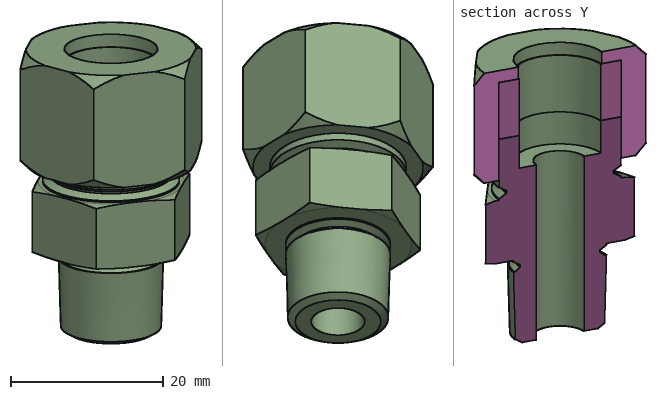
import cadquery as cq
import math


TOTAL_HEIGHT = 39.0
NUT_FLATS = 22.0
BODY_FLATS = 19.07

NUT_HEIGHT = 15.55
NUT_BOTTOM = TOTAL_HEIGHT - NUT_HEIGHT
NUT_FACE_RADIUS = 11.2
NUT_CHAMFER_ANGLE = 45.0
NUT_LIP = 1.75
NUT_HOLE_RADIUS = 6.12
RING_TOP = TOTAL_HEIGHT - NUT_LIP

HEX_BOTTOM = 11.78
HEX_HEIGHT = 8.95
HEX_TOP = HEX_BOTTOM + HEX_HEIGHT
HEX_FACE_RADIUS = 9.65
HEX_CHAMFER_ANGLE = 12.0
COLLAR_RADIUS = 9.0
COLLAR_HEIGHT = 8.55
BODY_TOP = HEX_TOP + COLLAR_HEIGHT

THREAD_TOP_RADIUS = 6.9
THREAD_SHOULDER = 0.2
THREAD_END_RADIUS = 6.63
THREAD_TOP = 10.18
TIP_RADIUS = 5.6
TIP_CHAMFER_HEIGHT = 0.62

UPPER_GROOVE_DEPTH = 1.1
LOWER_GROOVE_DEPTH = 0.98
GROOVE_FLOOR = 0.27
GROOVE_FLANK_ANGLE = 30.0
GROOVE_LAND = 0.2

TUBE_RADIUS = 6.0
SOCKET_DEPTH = 4.52
BORE_RADIUS = 3.5


def flank_height(depth):
    """Axial length of a groove flank that reaches the given depth."""
    return depth * math.tan(math.radians(GROOVE_FLANK_ANGLE))


def turned(points):
    """Solid of revolution about Z from (radius, height) corners."""
    return cq.Workplane("XZ").polyline(points).close().revolve(360, (0, 0), (0, 1))


def cylinder(radius, bottom, top):
    """Solid cylinder on the Z axis between two heights."""
    return cq.Workplane("XY", origin=(0, 0, bottom)).circle(radius).extrude(top - bottom)


def chamfered_hexagon(flats, bottom, height, face_radius, chamfer_angle):
    """Hexagonal prism with corners on the X axis and both ends turned to a cone."""
    corner_radius = flats / math.sqrt(3)
    drop = (corner_radius - face_radius) * math.tan(math.radians(chamfer_angle))
    top = bottom + height
    prism = cq.Workplane("XY", origin=(0, 0, bottom)).polygon(6, 2 * corner_radius).extrude(height)
    envelope = turned([
        (0, bottom),
        (face_radius, bottom),
        (corner_radius, bottom + drop),
        (corner_radius, top - drop),
        (face_radius, top),
        (0, top),
    ])
    return prism.intersect(envelope)


def make_nut():
    """Union nut with a tube hole through its lip and a cavity for the ring and the thread."""
    hexagon = chamfered_hexagon(NUT_FLATS, NUT_BOTTOM, NUT_HEIGHT, NUT_FACE_RADIUS, NUT_CHAMFER_ANGLE)
    tube_hole = cylinder(NUT_HOLE_RADIUS, NUT_BOTTOM, TOTAL_HEIGHT)
    cavity = cylinder(COLLAR_RADIUS, NUT_BOTTOM, RING_TOP)
    return hexagon.cut(tube_hole).cut(cavity)


def make_ring():
    """Clamping ring between the end of the body and the lip of the nut."""
    blank = cylinder(COLLAR_RADIUS, BODY_TOP, RING_TOP)
    return blank.cut(cylinder(TUBE_RADIUS, BODY_TOP, RING_TOP))


def make_collar():
    """Upper thread with its undercut just above the hexagon."""
    floor_radius = COLLAR_RADIUS - UPPER_GROOVE_DEPTH
    flank = flank_height(UPPER_GROOVE_DEPTH)
    groove_bottom = HEX_TOP + GROOVE_LAND
    floor_bottom = groove_bottom + flank
    floor_top = floor_bottom + GROOVE_FLOOR
    return turned([
        (0, HEX_TOP),
        (COLLAR_RADIUS, HEX_TOP),
        (COLLAR_RADIUS, groove_bottom),
        (floor_radius, floor_bottom),
        (floor_radius, floor_top),
        (COLLAR_RADIUS, floor_top + flank),
        (COLLAR_RADIUS, BODY_TOP),
        (0, BODY_TOP),
    ])


def make_threaded_end():
    """Tapered lower thread with a chamfered tip and its undercut just below the hexagon."""
    floor_radius = THREAD_TOP_RADIUS - LOWER_GROOVE_DEPTH
    groove_top = HEX_BOTTOM - GROOVE_LAND
    floor_top = groove_top - flank_height(LOWER_GROOVE_DEPTH)
    return turned([
        (0, 0),
        (TIP_RADIUS, 0),
        (THREAD_END_RADIUS, TIP_CHAMFER_HEIGHT),
        (THREAD_TOP_RADIUS, THREAD_TOP),
        (THREAD_TOP_RADIUS - THREAD_SHOULDER, THREAD_TOP),
        (floor_radius, floor_top - GROOVE_FLOOR),
        (floor_radius, floor_top),
        (THREAD_TOP_RADIUS, groove_top),
        (THREAD_TOP_RADIUS, HEX_BOTTOM),
        (0, HEX_BOTTOM),
    ])


def make_body():
    """Fitting body: hexagon, both threads, through bore and tube socket."""
    hexagon = chamfered_hexagon(BODY_FLATS, HEX_BOTTOM, HEX_HEIGHT, HEX_FACE_RADIUS, HEX_CHAMFER_ANGLE)
    blank = hexagon.union(make_collar()).union(make_threaded_end())
    through_bore = cylinder(BORE_RADIUS, 0, BODY_TOP)
    socket = cylinder(TUBE_RADIUS, BODY_TOP - SOCKET_DEPTH, BODY_TOP)
    return blank.cut(through_bore).cut(socket)


nut = make_nut()
ring = make_ring()
body = make_body()

result = cq.Compound.makeCompound([nut.val(), ring.val(), body.val()])